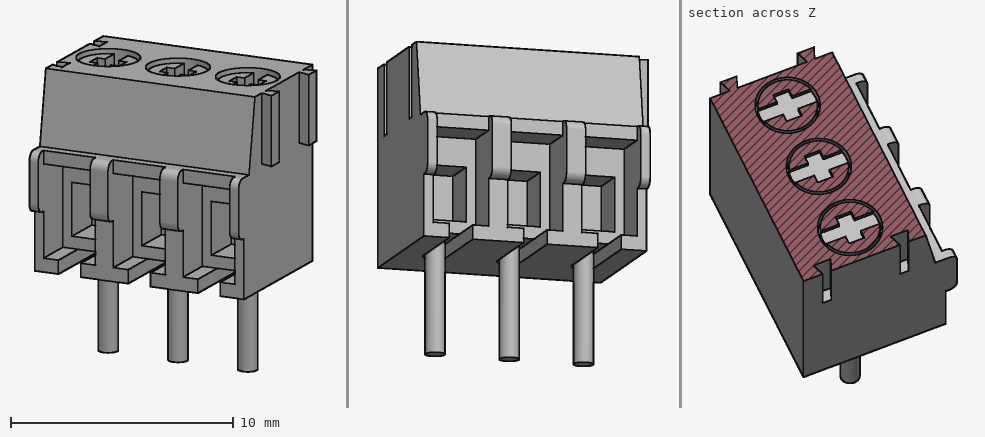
import cadquery as cq

overall_width = 11.07
overall_depth = 7.55
overall_height = 13.7
pole_count = 3

body_width = 10.5
pin_length = 4.51
body_height = overall_height - pin_length
pitch = body_width / pole_count
pole_centers = [(index + 0.5) * pitch for index in range(pole_count)]
top_depth = 5.88
shoulder_depth = 6.48
face_depth = 7.0
shoulder_z = body_height - 3.5

nose_height = 2.85
nose_radius = 0.42

entry_width = 2.6
entry_depth = 1.97
floor_thickness = 0.66
lintel_height = 0.63
entry_height = shoulder_z - lintel_height - floor_thickness
window_width = 1.7
window_height = 2.52
window_bottom = 1.23
window_depth = 2.0
slot_width = 1.11

contact_y = -3.05
pin_diameter = 0.9
screw_hole_diameter = 2.9
screw_hole_depth = 1.37
screw_diameter = 2.7
screw_recess = 0.2
drive_depth = 0.75
drive_slot_width = 0.68
drive_arm_length = 1.48
drive_arm_width = 0.74

dovetail_depth = overall_width - body_width
dovetail_neck = 0.41
dovetail_wide = 0.82
dovetail_length = 3.32
dovetail_centers = (-1.16, -4.96)


def box(x_center, y_front, y_back, z_bottom, width, height):
    """Block centred on x, given by its y limits and its bottom."""
    return (
        cq.Workplane("XY")
        .box(width, y_back - y_front, height, centered=(True, False, False))
        .translate((x_center, y_front, z_bottom))
    )


def cylinder(x, y, z_bottom, diameter, height):
    return cq.Workplane("XY", origin=(x, y, z_bottom)).circle(diameter / 2).extrude(height)


def housing():
    """Side profile with the sloped upper front and the nose, run across the full width."""
    return (
        cq.Workplane("YZ")
        .polyline([
            (0, 0),
            (-face_depth, 0),
            (-face_depth, shoulder_z - nose_height),
            (-overall_depth, shoulder_z - nose_height),
            (-overall_depth, shoulder_z),
            (-shoulder_depth, shoulder_z),
            (-top_depth, body_height),
            (0, body_height),
        ])
        .close()
        .extrude(body_width)
        .edges("|X and <Y")
        .fillet(nose_radius)
    )


def wire_entry(x):
    """Everything removed at the front of one pole."""
    back_y = entry_depth - face_depth
    pocket = box(x, -face_depth, back_y, floor_thickness, entry_width, entry_height)
    nose_gap = box(x, -overall_depth, -face_depth, 0, entry_width, shoulder_z)
    window = box(x, back_y, back_y + window_depth, window_bottom, window_width, window_height)
    floor_slot = box(x, -face_depth, contact_y, 0, slot_width, floor_thickness)
    slot_end = cylinder(x, contact_y, 0, slot_width, floor_thickness)
    return pocket.union(nose_gap).union(window).union(floor_slot).union(slot_end)


def pin(x):
    """Round pin reaching up to the top of the floor slot."""
    return cylinder(x, contact_y, -pin_length, pin_diameter, pin_length + floor_thickness)


def screw_hole(x):
    return cylinder(x, contact_y, body_height - screw_hole_depth, screw_hole_diameter, screw_hole_depth)


def screw(x):
    """Sunken screw head with a full-length slot and a short cross arm."""
    head_height = screw_hole_depth - screw_recess
    head = cylinder(x, contact_y, body_height - screw_hole_depth, screw_diameter, head_height)
    drive_z = body_height - screw_recess - drive_depth
    half_slot = screw_diameter / 2
    half_arm = drive_arm_width / 2
    slot = box(x, contact_y - half_slot, contact_y + half_slot, drive_z, drive_slot_width, drive_depth)
    arm = box(x, contact_y - half_arm, contact_y + half_arm, drive_z, drive_arm_length, drive_depth)
    return head.cut(slot).cut(arm)


def dovetail(x, y):
    """Dovetail prism widening towards +x from its neck at x."""
    return (
        cq.Workplane("XY", origin=(x, y, body_height - dovetail_length))
        .polyline([
            (0, -dovetail_neck / 2),
            (dovetail_depth, -dovetail_wide / 2),
            (dovetail_depth, dovetail_wide / 2),
            (0, dovetail_neck / 2),
        ])
        .close()
        .extrude(dovetail_length)
    )


result = housing()
for pole_x in pole_centers:
    result = result.cut(wire_entry(pole_x)).cut(screw_hole(pole_x))
    result = result.union(screw(pole_x)).union(pin(pole_x))
for dovetail_y in dovetail_centers:
    result = result.cut(dovetail(0, dovetail_y)).union(dovetail(body_width, dovetail_y))